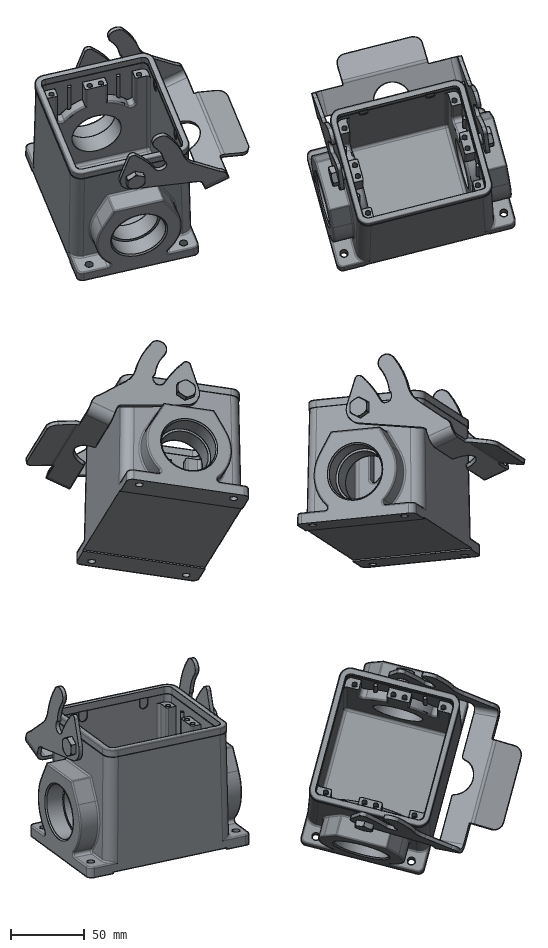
import cadquery as cq
import math

length = 125.0
width = 86.5
plate_height = 7.7
plate_corner = 4.1
edge_round = 0.9
root_round = 1.0

relief_length = 87.8
relief_depth = 1.0

hole_dia = 5.3
hole_x = 56.1
hole_y = 33.5

body_length = 96.8
body_corner = 7.7
draft = 1.0
rim_bottom = 85.1
rim_top = 90.5
rim_length = 94.6
rim_width = 84.2
rim_round = 0.5

floor = 5.3
well_length = 71.3
well_width = 75.3
well_round = 2.1
pocket_length = 85.7
pocket_corner = 3.9
rim_step = 0.33
pillar_top = 79.3
pillar_round = 1.2
middle_pillar = 8.0
corner_pillar = 27.5
alcove_round = 2.7
screw_dia = 3.5
screw_depth = 13.3
screw_x = 38.6
screw_ys = (-31.1, -4.0, 4.0, 31.1)
rib_radius = 1.3
rib_x = 42.2
rib_y = 17.4
notch_width = 6.3
notch_x = 23.4
notch_bottom = 77.5
notch_depth = 0.7

port_z = 33.0
port_dia = 35.0
counterbore_dia = 38.5
counterbore_depth = 13.3
mouth_chamfer = 1.0
boss_radius = 30.2
boss_top = 62.7
boss_flank = 30.0
neck_round = 2.0

sheet = 2.8
lever_outside = 52.5
pivot_z = 80.0
pivot_dia = 8.0
pivot_eye_radius = 10.4
head_across_flats = 12.2
head_height = 4.0
head_chamfer = 0.7
bend_radius = 7.0
web_tilt = 19.2
web_depth = 17.5
web_start_y = 66.0
web_start_z = 61.2
web_notch_radius = 12.9
web_notch_offset = 1.0
web_notch_round = 2.0
tab_width = 59.9
tab_tilt = 10.7
tab_end_y = 89.8
tab_knuckle = 2.4
tab_bend_inside = 1.6
tab_corner = 6.7
tab_root_round = 0.7


def polar(center, radius, angle):
    """Point on a circle, angle in degrees."""
    a = math.radians(angle)
    return (center[0] + radius * math.cos(a), center[1] + radius * math.sin(a))


def rounded_block(size_x, size_y, corner, z_from, z_to):
    return (
        cq.Workplane("XY").workplane(offset=z_from)
        .sketch().rect(size_x, size_y).vertices().fillet(corner).finalize()
        .extrude(z_to - z_from)
    )


def both_ends(solid):
    return solid.union(solid.mirror("YZ"))


def base_with_port_blocks():
    """One outline seen along X: plate, hollow necks and the blocks around the ports."""
    half = width / 2
    shoulder = half - plate_height * math.tan(math.radians(draft))
    axis = (0, port_z)
    neck_z = plate_height + neck_round
    neck_y = math.sqrt((boss_radius + neck_round) ** 2 - (port_z - neck_z) ** 2)
    neck_angle = math.degrees(math.atan2(neck_z - port_z, neck_y))
    neck_start = (neck_y, plate_height)
    neck_mid = polar((neck_y, neck_z), neck_round, (270 + neck_angle + 180) / 2)
    neck_end = polar(axis, boss_radius, neck_angle)
    side = polar(axis, boss_radius, 0)
    flank = polar(axis, boss_radius, boss_flank)
    slope = math.radians(boss_flank)
    top_y = (boss_radius - (boss_top - port_z) * math.sin(slope)) / math.cos(slope)

    right = [neck_start, neck_mid, neck_end, side, flank]
    left = [(-y, z) for y, z in right]
    outline = (
        cq.Workplane("YZ").workplane(offset=-length / 2)
        .moveTo(-half, 0).lineTo(half, 0).lineTo(shoulder, plate_height)
        .lineTo(*right[0]).threePointArc(right[1], right[2]).threePointArc(right[3], right[4])
        .lineTo(top_y, boss_top).lineTo(-top_y, boss_top)
        .lineTo(*left[4]).threePointArc(left[3], left[2]).threePointArc(left[1], left[0])
        .lineTo(-shoulder, plate_height).close()
    )
    base = outline.extrude(length)
    base = base.faces(">Z").edges("|X").fillet(edge_round)
    for end_x in (-length / 2, length / 2):
        for side_y in (-half, half):
            corner_zone = cq.selectors.BoxSelector(
                (end_x - 1.3, side_y - 1.3, 0.1), (end_x + 1.3, side_y + 1.3, plate_height - 0.1))
            base = base.edges(corner_zone).fillet(plate_corner)
    above_plate = cq.selectors.BoxSelector(
        (-length, -width, plate_height - 0.1), (length, width, boss_top + 0.1))
    return base.faces("<X or >X").edges(above_plate).fillet(edge_round)


def outer_walls():
    walls = cq.Workplane("XY").rect(body_length, width).extrude(rim_bottom, taper=draft)
    walls = walls.edges("not #Z").fillet(body_corner)
    rim = rounded_block(rim_length, rim_width, body_corner, rim_bottom, rim_top)
    rim = rim.faces(">Z").edges().fillet(rim_round)
    return walls.union(rim)


def round_wall_roots(housing):
    """Hollow rounding around the foot of the end walls and the port blocks."""
    half_body = body_length / 2
    for side in (-1, 1):
        near = side * (half_body - 9.3)
        far = side * (half_body + 0.3)
        root_zone = cq.selectors.BoxSelector(
            (near, -width / 2 + 0.7, plate_height - 0.1), (far, width / 2 - 0.7, boss_top + 0.1))
        housing = housing.edges(root_zone).edges("not |Z").fillet(root_round)
    return housing


def alcove():
    """Recess between the middle and a corner pillar, down to the round block around the port."""
    round_z = port_z + math.sqrt(
        (boss_radius + alcove_round) ** 2 - (corner_pillar - alcove_round) ** 2)
    round_center = (corner_pillar - alcove_round, round_z)
    axis = (0, port_z)
    crown_angle = math.degrees(math.acos(middle_pillar / boss_radius))
    touch_angle = math.degrees(math.atan2(round_z - port_z, round_center[0]))
    outline = (
        cq.Workplane("YZ").workplane(offset=screw_x - 6.7)
        .moveTo(middle_pillar, pillar_top)
        .lineTo(*polar(axis, boss_radius, crown_angle))
        .threePointArc(polar(axis, boss_radius, (crown_angle + touch_angle) / 2),
                       polar(axis, boss_radius, touch_angle))
        .threePointArc(polar(round_center, alcove_round, (touch_angle + 180 + 360) / 2),
                       (corner_pillar, round_z))
        .lineTo(corner_pillar, pillar_top).close()
    )
    return outline.extrude(pocket_length / 2 - (screw_x - 6.7))


def cavity():
    well = cq.Workplane("XY").box(
        well_length, well_width, pillar_top - floor, centered=(True, True, False))
    well = well.edges("|Z or <Z").fillet(well_round).translate((0, 0, floor))
    one_side = alcove().union(alcove().mirror("XZ"))
    space = well.union(both_ends(one_side))
    pillar_edges = cq.selectors.BoxSelector(
        (-well_length / 2 - 0.1, -corner_pillar - 0.1, pillar_top / 2 + 13.3),
        (well_length / 2 + 0.1, corner_pillar + 0.1, pillar_top - 1.3))
    space = space.edges(pillar_edges).edges("|Z").fillet(pillar_round)
    pocket = rounded_block(pocket_length, well_width, pocket_corner, pillar_top, rim_bottom)
    opening = rounded_block(
        pocket_length + 2 * rim_step, well_width + 2 * rim_step, pocket_corner, rim_bottom, rim_top)
    return space.union(pocket).union(opening)


def screw_holes():
    spots = [(side * screw_x, y) for side in (-1, 1) for y in screw_ys]
    return (
        cq.Workplane("XY").workplane(offset=pillar_top).pushPoints(spots)
        .circle(screw_dia / 2).extrude(-screw_depth)
    )


def guide_ribs():
    spots = [(side_x * rib_x, side_y * rib_y) for side_x in (-1, 1) for side_y in (-1, 1)]
    return (
        cq.Workplane("XY").workplane(offset=port_z + boss_radius / 2).pushPoints(spots)
        .circle(rib_radius).extrude(pillar_top - port_z - boss_radius / 2)
    )


def wall_notches():
    """Two shallow notches with round ends, below the rim in the +Y wall."""
    radius = notch_width / 2
    notch = (
        cq.Workplane("XZ").workplane(offset=-well_width / 2 - notch_depth)
        .moveTo(-radius, rim_bottom).lineTo(-radius, notch_bottom + radius)
        .threePointArc((0, notch_bottom), (radius, notch_bottom + radius))
        .lineTo(radius, rim_bottom).close().extrude(2 * notch_depth)
        .translate((notch_x, 0, 0))
    )
    return both_ends(notch)


def port():
    bore_start = well_length / 2 - well_round
    bore = (
        cq.Workplane("YZ").workplane(offset=bore_start).center(0, port_z)
        .circle(port_dia / 2).extrude(length / 2 - bore_start)
    )
    counterbore = (
        cq.Workplane("YZ").workplane(offset=length / 2 - counterbore_depth).center(0, port_z)
        .circle(counterbore_dia / 2).extrude(counterbore_depth)
    )
    mouth = cq.Workplane(cq.Solid.makeCone(
        counterbore_dia / 2, counterbore_dia / 2 + mouth_chamfer, mouth_chamfer,
        cq.Vector(length / 2 - mouth_chamfer, 0, port_z), cq.Vector(1, 0, 0)))
    return bore.union(counterbore).union(mouth)


def mounting_holes():
    return (
        cq.Workplane("XY").rect(2 * hole_x, 2 * hole_y, forConstruction=True).vertices()
        .circle(hole_dia / 2).extrude(plate_height)
    )


def base_relief():
    return cq.Workplane("XY").box(
        relief_length, width, relief_depth, centered=(True, True, False))


def lever_side():
    """Side plate of the lever: pivot eye, hook slot and finger, seen along X."""
    pivot = (0, pivot_z)
    beak = (-1.2, 100.2)
    beak_radius = 2.9
    slot = (18.4, 86.5)
    slot_radius = 4.4
    finger = (18.9, 110.1)
    finger_radius = 6.0
    eye_start = 261
    eye_end = 163.5
    beak_end = 40
    tilt = math.radians(web_tilt)
    web_end = (web_start_y - web_depth * math.cos(tilt), web_start_z - web_depth * math.sin(tilt))
    outline = (
        cq.Workplane("YZ").workplane(offset=lever_outside - sheet)
        .moveTo(*web_end).lineTo(48.3, 58.8)
        .threePointArc((47.1, 61.0), (45.0, 62.1))
        .lineTo(*polar(pivot, pivot_eye_radius, eye_start))
        .threePointArc(polar(pivot, pivot_eye_radius, (eye_start + eye_end) / 2),
                       polar(pivot, pivot_eye_radius, eye_end))
        .lineTo(*polar(beak, beak_radius, eye_end))
        .threePointArc(polar(beak, beak_radius, (eye_end + beak_end) / 2),
                       polar(beak, beak_radius, beak_end))
        .threePointArc((7.5, 95.0), polar(slot, slot_radius, 210))
        .threePointArc(polar(slot, slot_radius, 310), polar(slot, slot_radius, 52))
        .threePointArc((18.1, 100.3), polar(finger, finger_radius, 215))
        .threePointArc(polar(finger, finger_radius, 127), polar(finger, finger_radius, 40))
        .threePointArc((30.5, 103.1), (35.0, 90.5))
        .threePointArc((37.6, 85.4), (41.9, 81.1))
        .lineTo(60.7, 67.3)
        .threePointArc((64.1, 65.0), (web_start_y, web_start_z)).close()
    )
    return outline.extrude(sheet)


def lever_web():
    """Bent cross web that joins the two side plates, with a round notch in its free edge."""
    tilt = math.radians(web_tilt)
    along = (0, -math.cos(tilt), -math.sin(tilt))
    flat = lever_outside - bend_radius
    inner_radius = bend_radius - sheet
    inside = lever_outside - sheet
    outer_mid = polar((flat, 0), bend_radius, -45)
    inner_mid = polar((flat, 0), inner_radius, -45)
    bend_plane = cq.Plane((0, web_start_y, web_start_z), (1, 0, 0), along)
    web = (
        cq.Workplane(bend_plane)
        .moveTo(-lever_outside, 0)
        .threePointArc((-outer_mid[0], outer_mid[1]), (-flat, -bend_radius))
        .lineTo(flat, -bend_radius).threePointArc(outer_mid, (lever_outside, 0))
        .lineTo(inside, 0).threePointArc(inner_mid, (flat, -inner_radius))
        .lineTo(-flat, -inner_radius)
        .threePointArc((-inner_mid[0], inner_mid[1]), (-inside, 0)).close()
        .extrude(web_depth)
    )
    down = (0, math.sin(tilt), -math.cos(tilt))
    notch_plane = cq.Plane((0, web_start_y, web_start_z), (1, 0, 0), down)
    notch = (
        cq.Workplane(notch_plane).center(0, web_depth + web_notch_offset)
        .circle(web_notch_radius).extrude(2 * bend_radius)
    )
    web = web.cut(notch)
    mouth_half = math.sqrt(web_notch_radius ** 2 - web_notch_offset ** 2)
    mouth_zone = cq.selectors.BoxSelector(
        (-mouth_half - 0.1, 0, 0), (mouth_half + 0.1, web_start_y - web_depth / 2 - 4, web_start_z))
    return web.edges(mouth_zone).edges("not |X").fillet(web_notch_round)


def lever_tab():
    """Thumb tab, bent outwards from the upper edge of the web."""
    tilt = math.radians(web_tilt)
    droop = math.radians(tab_tilt)

    def from_web(back, depth):
        y = web_start_y + back * math.cos(tilt) + depth * math.sin(tilt)
        z = web_start_z + back * math.sin(tilt) - depth * math.cos(tilt)
        return (y, z)

    web_top = from_web(0, bend_radius - sheet)
    web_bottom = from_web(0, bend_radius)
    knee_top = from_web(tab_knuckle, bend_radius - sheet)
    half_turn = (tilt + droop) / 2
    knee_bottom = from_web(tab_knuckle - sheet * math.tan(half_turn), bend_radius)
    end_top = (tab_end_y, knee_top[1] - (tab_end_y - knee_top[0]) * math.tan(droop))
    end_bottom = (end_top[0] - sheet * math.sin(droop), end_top[1] - sheet * math.cos(droop))
    tab = (
        cq.Workplane("YZ").workplane(offset=-tab_width / 2)
        .polyline([web_top, knee_top, end_top, end_bottom, knee_bottom, web_bottom]).close()
        .extrude(tab_width)
    )
    knee_edge = cq.selectors.NearestToPointSelector
    tab = tab.edges("|X").edges(knee_edge((0,) + knee_top)).fillet(tab_bend_inside + sheet)
    tab = tab.edges("|X").edges(knee_edge((0,) + knee_bottom)).fillet(tab_bend_inside)
    return tab.faces(">Y").edges("not |X").fillet(tab_corner)


def round_tab_roots(lever):
    """Hollow rounding where the sides of the tab leave the web."""
    tilt = math.radians(web_tilt)
    web_middle = bend_radius - sheet / 2
    root_y = web_start_y + web_middle * math.sin(tilt)
    root_z = web_start_z - web_middle * math.cos(tilt)
    for side in (-1, 1):
        root = cq.selectors.NearestToPointSelector((side * tab_width / 2, root_y, root_z))
        lever = lever.edges(root).fillet(tab_root_round)
    return lever


def pivot_bolt():
    """Pin from the wall through the side plate, with a hexagon head."""
    pin_start = pocket_length / 2 + 1.3
    pin = (
        cq.Workplane("YZ").workplane(offset=pin_start).center(0, pivot_z)
        .circle(pivot_dia / 2).extrude(lever_outside - pin_start)
    )
    across_corners = head_across_flats / math.cos(math.pi / 6)
    head = (
        cq.Workplane("YZ").workplane(offset=lever_outside).center(0, pivot_z)
        .transformed(rotate=(0, 0, 30))
        .polygon(6, across_corners).extrude(head_height)
    )
    crown = (
        cq.Workplane("YZ").workplane(offset=lever_outside).center(0, pivot_z)
        .circle(across_corners / 2).extrude(head_height)
        .faces(">X").chamfer(head_chamfer)
    )
    return pin.union(head.intersect(crown))


housing = round_wall_roots(base_with_port_blocks().union(outer_walls()))
housing = housing.cut(cavity()).union(guide_ribs())
housing = housing.cut(screw_holes()).cut(wall_notches())
housing = housing.cut(port()).cut(port().mirror("YZ"))
housing = housing.cut(mounting_holes()).cut(base_relief())

lever = round_tab_roots(lever_web().union(lever_tab()))
for feature in (lever_side(), pivot_bolt()):
    lever = lever.union(feature).union(feature.mirror("YZ"))

result = housing.union(lever)